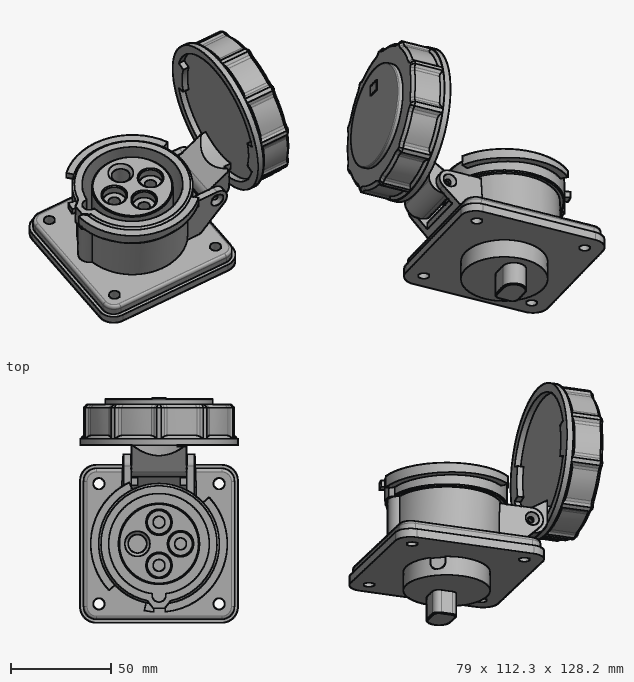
import cadquery as cq
import math


FLANGE_SIZE = 79.0
FLANGE_CORNER = 8.2
FLANGE_STEP = 1.8
FLANGE_LOWER_HEIGHT = 4.5
FLANGE_TOP = 9.9
FLANGE_EDGE_RADIUS = 1.7
SCREW_SPACING = 60.0
SCREW_DIAMETER = 5.5

BARREL_RADIUS = 27.8
COLLAR_RADIUS = 30.1
COLLAR_BOTTOM = 34.9
COLLAR_TOP = 46.4
COLLAR_BEVEL_WIDTH = 1.2
COLLAR_BEVEL_HEIGHT = 0.9
COLLAR_UNDER_CHAMFER = 0.6
BORE_RADIUS = 25.1

KEY_Y = -25.6
KEY_RIB_RADIUS = 5.6
KEYWAY_RADIUS = 3.5
KEY_PAD_FRONT_Y = -32.0
KEY_PAD_SIDE_Y = -28.7
KEY_PAD_FRONT_HALF = 3.0

LUG_RADIUS = 34.1
LUG_TOP = COLLAR_TOP - COLLAR_BEVEL_HEIGHT
LEFT_LUG_BOTTOM = 40.2
RIGHT_LUG_BOTTOM = 39.5
LUG_RAMP_RISE = 1.8
LEFT_LUG_ANGLES = (116, 223)
RIGHT_LUG_ANGLES = (-84.6, 43)
TAB_ANGLES = (257.6, 265.5)
LEFT_LUG_RAMP = (-90, -16.7, 25.0)
RIGHT_LUG_RAMP = (69, -30.6, 30.4)
TAB_BOTTOM = 42.0

INSERT_RADIUS = 20.2
INSERT_TOP = 44.7
INSERT_CHAMFER = 0.5
CONTACT_CIRCLE_RADIUS = 10.8
CONTACT_BORE_DEPTH = 25.6
RECESS_RADIUS = 5.9
RECESS_DEPTH = 4.9
RECESS_CHAMFER = 0.6
PIN_BORE_RADIUS = 3.0
EARTH_BORE_RADIUS = 4.6
EARTH_MOUTH_RADIUS = 6.3
EARTH_FUNNEL_DEPTH = 2.0

REAR_RADIUS = 21.7
REAR_HEIGHT = 9.9
REAR_SLOT_WIDTH = 7.7
REAR_SLOT_HEIGHT = 6.5
REAR_SLOT_DEPTH = 1.3
REAR_SLOT_ANGLE = -33.0
TERMINAL_BOTTOM = -22.3
TERMINAL_RADIUS = 6.3
TERMINAL_RIGHT_X = -0.1
TERMINAL_CORNER = 3.3
TERMINAL_CHAMFER = 0.5

PIVOT_Y = 39.0
PIVOT_Z = 27.8
EAR_RADIUS = 5.8
EAR_INNER_X = 14.0
EAR_OUTER_TOP_X = 17.5
EAR_OUTER_BOTTOM_X = 18.6
EAR_FOOT_Y = 28.3
PIVOT_HOLE_RADIUS = 1.5
PIVOT_SINK_RADIUS = 3.6
WEB_END_Y = 35.9
WEB_THICKNESS = 1.9
STOP_INNER_X = 10.6
STOP_FRONT_Y = 29.2
STOP_BACK_Y = 33.6
STOP_TOP = 18.0

LID_Z = 66.4
LID_FACE_Y = 49.2
RIM_RADIUS = 39.5
RIM_BACK_Y = 52.5
LID_BACK_Y = 69.6
LID_PANEL_RADIUS = 37.5
LID_EDGE_CHAMFER = 1.7
FLARE_LENGTH = 1.5
RIB_COUNT = 10
RIB_TIP_RADIUS = 39.1
RIB_TIP_HALF = 1.2
RIB_SHOULDER_RADIUS = 37.9
RIB_SHOULDER_HALF = 2.5
RIB_BASE_HALF = 4.0
CAP_RADIUS = 26.9
CAP_BACK_Y = 72.3
CAP_EDGE_RADIUS = 0.5
MARK_BACK_Y = 72.8
MARK_WIDTH = 6.9
MARK_HEIGHT = 5.5
MARK_Z = 82.0
LID_RECESS_RADIUS = 34.9
LID_RECESS_DEPTH = 3.2
LID_LUG_INNER_RADIUS = 30.6
LID_LUG_HALF_ANGLE = 15.5

ARM_HALF_WIDTH = 13.8
ARM_HEAD_RADIUS = 5.5
ARM_SLOPE_TOP_Z = 40.8
ARM_SLOPE = 0.615
ARM_BACK_Y = 48.5
ARM_SCOOP_RADIUS = 28.8
ARM_NOTCH_X = 9.2
ARM_TONGUE_BOTTOM = 35.0
ARM_HEEL = (46.1, 23.8)

OVERLAP = 1.3


def cylinder(radius, bottom, top, x=0.0, y=0.0):
    """Upright cylinder between two heights."""
    return cq.Workplane("XY", origin=(x, y, bottom)).circle(radius).extrude(top - bottom)


def lid_cylinder(radius, front, back):
    """Cylinder on the lid axis between two Y positions."""
    return cq.Workplane("XZ", origin=(0, front, LID_Z)).circle(radius).extrude(front - back)


def polar(radius, degrees):
    angle = math.radians(degrees)
    return (radius * math.cos(angle), radius * math.sin(angle))


def ring_sector(plane, inner, outer, start, end, length):
    """Part of a ring between two angles, extruded along the plane's normal."""
    middle = (start + end) / 2
    return (
        plane.moveTo(*polar(inner, start))
        .lineTo(*polar(outer, start))
        .threePointArc(polar(outer, middle), polar(outer, end))
        .lineTo(*polar(inner, end))
        .threePointArc(polar(inner, middle), polar(inner, start))
        .close()
        .extrude(length)
    )



def rounded_plate(size, corner, bottom, top):
    plate = cq.Workplane("XY", origin=(0, 0, bottom)).rect(size, size).extrude(top - bottom)
    return plate.edges("|Z").fillet(corner)


def make_flange():
    lower = rounded_plate(FLANGE_SIZE, FLANGE_CORNER, 0, FLANGE_LOWER_HEIGHT)
    upper = rounded_plate(FLANGE_SIZE - 2 * FLANGE_STEP, FLANGE_CORNER - FLANGE_STEP, 0, FLANGE_TOP)
    return lower.union(upper.faces(">Z").edges().fillet(FLANGE_EDGE_RADIUS))


def make_barrel():
    """Barrel and bevelled collar, with the key rib and its pad in front."""
    collar_profile = [
        (0, 0),
        (BARREL_RADIUS, 0),
        (BARREL_RADIUS, COLLAR_BOTTOM),
        (COLLAR_RADIUS - COLLAR_UNDER_CHAMFER, COLLAR_BOTTOM),
        (COLLAR_RADIUS, COLLAR_BOTTOM + COLLAR_UNDER_CHAMFER),
        (COLLAR_RADIUS, LUG_TOP),
        (COLLAR_RADIUS - COLLAR_BEVEL_WIDTH, COLLAR_TOP),
        (0, COLLAR_TOP),
    ]
    barrel = cq.Workplane("XZ").polyline(collar_profile).close().revolve(360, (0, 0), (0, 1))
    rib = cylinder(KEY_RIB_RADIUS, 0, COLLAR_BOTTOM, y=KEY_Y)
    pad_outline = [
        (-KEY_RIB_RADIUS, KEY_Y),
        (-KEY_RIB_RADIUS, KEY_PAD_SIDE_Y),
        (-KEY_PAD_FRONT_HALF, KEY_PAD_FRONT_Y),
        (KEY_PAD_FRONT_HALF, KEY_PAD_FRONT_Y),
        (KEY_RIB_RADIUS, KEY_PAD_SIDE_Y),
        (KEY_RIB_RADIUS, KEY_Y),
    ]
    pad = cq.Workplane("XY", origin=(0, 0, COLLAR_BOTTOM)).polyline(pad_outline).close()
    return barrel.union(rib).union(pad.extrude(COLLAR_TOP - COLLAR_BOTTOM))


def bayonet_lug(start, end, bottom, ramp_direction, thick_at, thin_at):
    """Lug whose underside rises between two distances along a horizontal direction in degrees."""
    plane = cq.Workplane("XY", origin=(0, 0, bottom))
    lug = ring_sector(plane, BORE_RADIUS + OVERLAP, LUG_RADIUS, start, end, LUG_TOP - bottom)
    wedge = (
        cq.Workplane("XZ")
        .moveTo(thick_at, bottom)
        .lineTo(thin_at, bottom + LUG_RAMP_RISE)
        .lineTo(thin_at, bottom)
        .close()
        .extrude(LUG_RADIUS + OVERLAP, both=True)
        .rotate((0, 0, 0), (0, 0, 1), ramp_direction)
    )
    return lug.cut(wedge)


def make_lugs():
    left = bayonet_lug(*LEFT_LUG_ANGLES, LEFT_LUG_BOTTOM, *LEFT_LUG_RAMP)
    right = bayonet_lug(*RIGHT_LUG_ANGLES, RIGHT_LUG_BOTTOM, *RIGHT_LUG_RAMP)
    tab_plane = cq.Workplane("XY", origin=(0, 0, TAB_BOTTOM))
    tab_height = LUG_TOP - TAB_BOTTOM
    tab = ring_sector(tab_plane, BORE_RADIUS + OVERLAP, LUG_RADIUS, *TAB_ANGLES, tab_height)
    return left.union(right).union(tab)


def make_bore():
    """Annular space round the insert, opened by the keyway."""
    floor = FLANGE_TOP
    bore = cylinder(BORE_RADIUS, floor, COLLAR_TOP)
    keyway = cylinder(KEYWAY_RADIUS, floor, COLLAR_TOP, y=KEY_Y)
    mouth = (
        cq.Workplane("XY", origin=(0, KEY_Y / 2, floor))
        .rect(2 * KEYWAY_RADIUS, -KEY_Y)
        .extrude(COLLAR_TOP - floor)
    )
    return bore.union(keyway).union(mouth)


def pin_contact_hole(x, y):
    """Chamfered round recess with a pin bore in its floor."""
    floor = INSERT_TOP - RECESS_DEPTH
    profile = [
        (0, INSERT_TOP - CONTACT_BORE_DEPTH),
        (PIN_BORE_RADIUS, INSERT_TOP - CONTACT_BORE_DEPTH),
        (PIN_BORE_RADIUS, floor),
        (RECESS_RADIUS, floor),
        (RECESS_RADIUS, INSERT_TOP - RECESS_CHAMFER),
        (RECESS_RADIUS + RECESS_CHAMFER, INSERT_TOP),
        (0, INSERT_TOP),
    ]
    hole = cq.Workplane("XZ").polyline(profile).close().revolve(360, (0, 0), (0, 1))
    return hole.translate((x, y, 0))


def earth_contact_hole(x, y):
    """Plain bore with a conical mouth."""
    profile = [
        (0, INSERT_TOP - CONTACT_BORE_DEPTH),
        (EARTH_BORE_RADIUS, INSERT_TOP - CONTACT_BORE_DEPTH),
        (EARTH_BORE_RADIUS, INSERT_TOP - EARTH_FUNNEL_DEPTH),
        (EARTH_MOUTH_RADIUS, INSERT_TOP),
        (0, INSERT_TOP),
    ]
    hole = cq.Workplane("XZ").polyline(profile).close().revolve(360, (0, 0), (0, 1))
    return hole.translate((x, y, 0))


def make_insert():
    insert = cylinder(INSERT_RADIUS, 0, INSERT_TOP).faces(">Z").edges().chamfer(INSERT_CHAMFER)
    for angle in (-90, 0, 90):
        insert = insert.cut(pin_contact_hole(*polar(CONTACT_CIRCLE_RADIUS, angle)))
    return insert.cut(earth_contact_hole(-CONTACT_CIRCLE_RADIUS, 0))


def make_rear():
    """Round rear boss with a round-ended side slot, and the earth terminal below it."""
    rear = cylinder(REAR_RADIUS, -REAR_HEIGHT, 0)
    slot_radius = REAR_SLOT_WIDTH / 2
    slot = (
        cq.Workplane("YZ", origin=(REAR_RADIUS - REAR_SLOT_DEPTH, 0, 0))
        .moveTo(-slot_radius, 0)
        .lineTo(-slot_radius, slot_radius - REAR_SLOT_HEIGHT)
        .threePointArc((0, -REAR_SLOT_HEIGHT), (slot_radius, slot_radius - REAR_SLOT_HEIGHT))
        .lineTo(slot_radius, 0)
        .close()
        .extrude(REAR_SLOT_DEPTH + OVERLAP)
        .rotate((0, 0, 0), (0, 0, 1), REAR_SLOT_ANGLE)
    )
    round_part = cylinder(TERMINAL_RADIUS, TERMINAL_BOTTOM, -REAR_HEIGHT, x=-CONTACT_CIRCLE_RADIUS)
    block_length = TERMINAL_RIGHT_X + CONTACT_CIRCLE_RADIUS
    block = (
        cq.Workplane("XY", origin=(-CONTACT_CIRCLE_RADIUS + block_length / 2, 0, TERMINAL_BOTTOM))
        .rect(block_length, 2 * TERMINAL_RADIUS)
        .extrude(-REAR_HEIGHT - TERMINAL_BOTTOM)
        .edges("|Z and >X")
        .fillet(TERMINAL_CORNER)
    )
    terminal = round_part.union(block).faces("<Z").edges().chamfer(TERMINAL_CHAMFER)
    return rear.cut(slot).union(terminal)


def hinge_side():
    """Side outline of the hinge, sloping from the pivot down to the flange, across its full width."""
    foot_dy = EAR_FOOT_Y - PIVOT_Y
    foot_dz = FLANGE_TOP - PIVOT_Z
    foot_distance = math.hypot(foot_dy, foot_dz)
    tangent_angle = math.atan2(foot_dz, foot_dy) + math.acos(EAR_RADIUS / foot_distance)
    tangent = (
        PIVOT_Y + EAR_RADIUS * math.cos(tangent_angle),
        PIVOT_Z + EAR_RADIUS * math.sin(tangent_angle),
    )
    return (
        cq.Workplane("YZ")
        .moveTo(0, FLANGE_TOP)
        .lineTo(EAR_FOOT_Y, FLANGE_TOP)
        .lineTo(*tangent)
        .threePointArc((PIVOT_Y + EAR_RADIUS, PIVOT_Z), (PIVOT_Y, PIVOT_Z + EAR_RADIUS))
        .lineTo(0, PIVOT_Z + EAR_RADIUS)
        .close()
        .extrude(EAR_OUTER_BOTTOM_X, both=True)
    )


def make_ears(side):
    """Two hinge ears with drafted outer faces."""
    ear_top = PIVOT_Z + EAR_RADIUS
    section = [
        (EAR_INNER_X, FLANGE_TOP),
        (EAR_OUTER_BOTTOM_X, FLANGE_TOP),
        (EAR_OUTER_TOP_X, ear_top),
        (EAR_INNER_X, ear_top),
    ]
    drafted = cq.Workplane("XZ").polyline(section).close().extrude(-PIVOT_Y - EAR_RADIUS)
    ear = drafted.intersect(side)
    return ear.union(ear.mirror("YZ"))


def make_web(side):
    """Sloping plate along the back edges of the ears, with a low stop beside each ear."""
    inner_side = side.translate((0, -WEB_THICKNESS, WEB_THICKNESS))
    web_box = (
        cq.Workplane("XY", origin=(0, WEB_END_Y / 2, FLANGE_TOP))
        .rect(2 * EAR_INNER_X, WEB_END_Y)
        .extrude(PIVOT_Z - FLANGE_TOP)
    )
    web = web_box.intersect(side).cut(inner_side)
    for sign in (-1, 1):
        stop_x = sign * (STOP_INNER_X + EAR_INNER_X) / 2
        stop_y = (STOP_FRONT_Y + STOP_BACK_Y) / 2
        stop = (
            cq.Workplane("XY", origin=(stop_x, stop_y, FLANGE_TOP))
            .rect(EAR_INNER_X - STOP_INNER_X, STOP_BACK_Y - STOP_FRONT_Y)
            .extrude(STOP_TOP - FLANGE_TOP)
        )
        web = web.union(stop)
    return web.intersect(side)


def pivot_hole():
    hole = cq.Workplane("YZ", origin=(0, PIVOT_Y, PIVOT_Z)).circle(PIVOT_HOLE_RADIUS)
    return hole.extrude(EAR_OUTER_BOTTOM_X, both=True)


def pivot_sinks():
    """Conical countersinks on the outer faces of both ears."""
    sink_depth = PIVOT_SINK_RADIUS - PIVOT_HOLE_RADIUS
    ear_height = PIVOT_Z + EAR_RADIUS - FLANGE_TOP
    draft = (EAR_OUTER_BOTTOM_X - EAR_OUTER_TOP_X) / ear_height
    outer_x = EAR_OUTER_TOP_X + draft * EAR_RADIUS
    profile = [
        (outer_x - sink_depth, 0),
        (outer_x - sink_depth, PIVOT_HOLE_RADIUS),
        (outer_x, PIVOT_SINK_RADIUS),
        (outer_x + OVERLAP, PIVOT_SINK_RADIUS),
        (outer_x + OVERLAP, 0),
    ]
    sink = cq.Workplane("XY").polyline(profile).close().revolve(360, (0, 0), (1, 0))
    return sink.union(sink.mirror("YZ")).translate((0, PIVOT_Y, PIVOT_Z))


def make_housing():
    side = hinge_side()
    hinge = make_ears(side).union(make_web(side)).cut(pivot_hole()).cut(pivot_sinks())
    shell = make_flange().union(make_barrel()).union(make_lugs()).union(hinge)
    housing = shell.cut(make_bore()).union(make_insert()).union(make_rear())
    screw_holes = (
        cq.Workplane("XY")
        .rect(SCREW_SPACING, SCREW_SPACING, forConstruction=True)
        .vertices()
        .circle(SCREW_DIAMETER / 2)
        .extrude(FLANGE_TOP)
    )
    return housing.cut(screw_holes)



def make_lid_shell():
    """Ribbed cap with a rim at the open face and a raised disc on the back."""
    shell = lid_cylinder(LID_PANEL_RADIUS, LID_FACE_Y, LID_BACK_Y)
    rib_half = [
        (math.sqrt(LID_PANEL_RADIUS**2 - RIB_BASE_HALF**2), RIB_BASE_HALF),
        (RIB_SHOULDER_RADIUS, RIB_SHOULDER_HALF),
        (RIB_TIP_RADIUS, RIB_TIP_HALF),
    ]
    rib_outline = rib_half + [(radius, -half) for radius, half in reversed(rib_half)]
    rib = (
        cq.Workplane("XZ", origin=(0, LID_FACE_Y, 0))
        .polyline(rib_outline)
        .close()
        .extrude(LID_FACE_Y - LID_BACK_Y)
    )
    pitch = 360 / RIB_COUNT
    for index in range(RIB_COUNT):
        turned = rib.rotate((0, 0, 0), (0, 1, 0), pitch * (index + 0.5))
        shell = shell.union(turned.translate((0, 0, LID_Z)))
    shell = shell.faces(">Y").edges().chamfer(LID_EDGE_CHAMFER)

    rim = lid_cylinder(RIM_RADIUS, LID_FACE_Y, RIM_BACK_Y)
    flare_profile = [
        (0, RIM_BACK_Y),
        (RIB_TIP_RADIUS, RIM_BACK_Y),
        (LID_PANEL_RADIUS, RIM_BACK_Y + FLARE_LENGTH),
        (0, RIM_BACK_Y + FLARE_LENGTH),
    ]
    flare = cq.Workplane("XY").polyline(flare_profile).close().revolve(360, (0, 0), (0, 1))
    flare = flare.translate((0, 0, LID_Z))
    cap = lid_cylinder(CAP_RADIUS, LID_BACK_Y, CAP_BACK_Y).faces(">Y").edges().fillet(CAP_EDGE_RADIUS)
    mark = (
        cq.Workplane("XZ", origin=(0, CAP_BACK_Y, MARK_Z))
        .rect(MARK_WIDTH, MARK_HEIGHT)
        .extrude(CAP_BACK_Y - MARK_BACK_Y)
    )
    return shell.union(rim).union(flare).union(cap).union(mark)


def make_lid_recess():
    """Shallow round recess in the lid face, interrupted by two inward lugs."""
    floor_y = LID_FACE_Y + LID_RECESS_DEPTH
    recess = lid_cylinder(LID_RECESS_RADIUS, LID_FACE_Y, floor_y)
    for middle in (0, 180):
        plane = cq.Workplane("XZ", origin=(0, LID_FACE_Y, LID_Z))
        lug = ring_sector(
            plane,
            LID_LUG_INNER_RADIUS,
            LID_RECESS_RADIUS + OVERLAP,
            middle - LID_LUG_HALF_ANGLE,
            middle + LID_LUG_HALF_ANGLE,
            -LID_RECESS_DEPTH,
        )
        recess = recess.cut(lug)
    return recess


def make_arm():
    """Hinge arm with a sloping top, hollowed round the lid axis to clear the collar."""
    floor_y = LID_FACE_Y + LID_RECESS_DEPTH
    head_top_y = PIVOT_Y - ARM_HEAD_RADIUS * math.sin(math.atan(ARM_SLOPE))

    def slope_z(y):
        return ARM_SLOPE_TOP_Z - ARM_SLOPE * (LID_FACE_Y - y)

    arm = (
        cq.Workplane("YZ")
        .moveTo(floor_y, ARM_TONGUE_BOTTOM)
        .lineTo(floor_y, slope_z(floor_y))
        .lineTo(head_top_y, slope_z(head_top_y))
        .threePointArc((PIVOT_Y - ARM_HEAD_RADIUS, PIVOT_Z), (PIVOT_Y, PIVOT_Z - ARM_HEAD_RADIUS))
        .threePointArc(ARM_HEEL, (ARM_BACK_Y, PIVOT_Z))
        .lineTo(ARM_BACK_Y, ARM_TONGUE_BOTTOM)
        .close()
        .extrude(ARM_HALF_WIDTH, both=True)
    )
    scoop = lid_cylinder(ARM_SCOOP_RADIUS, PIVOT_Y - EAR_RADIUS, floor_y)
    notch = (
        cq.Workplane("XY", origin=(ARM_NOTCH_X, ARM_BACK_Y, 0))
        .rect(ARM_HALF_WIDTH, floor_y - ARM_BACK_Y, centered=False)
        .extrude(LID_Z)
    )
    return arm.cut(scoop).cut(notch).cut(pivot_hole())


def make_lid():
    return make_lid_shell().cut(make_lid_recess()).union(make_arm())


housing = make_housing()
lid = make_lid()
result = cq.Compound.makeCompound([housing.val(), lid.val()])